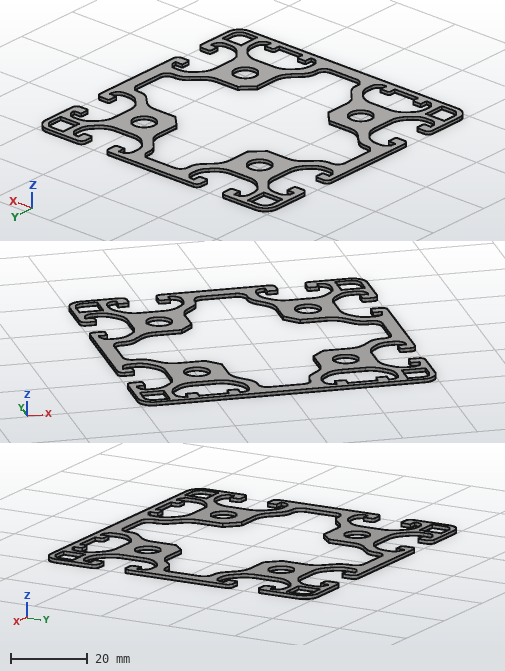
import cadquery as cq
import math

module = 40.0
side = 2 * module
half_side = side / 2
thickness = 1.0
outer_radius = 4.0
side_angles = (0, 90, 180, 270)
closed_side_angle = 180

core_offset = module / 2
core_half = 7.7
core_hole_diameter = 6.8
core_chamfer = 3.6

slot_half_width = 10.0
slot_depth = module / 2 - core_half
mouth_half_width = 4.0
lip_width = 3.0
lip_depth = 4.3
lip_outer_radius = 1.5
lip_inner_radius = 0.6
undercut_depth = 2.0
undercut_radius = 2.5
slot_flank_depth = 8.0
slot_flank_radius = 5.0
slot_floor_radius = 6.0
cutter_overrun = 1.0

wall = 4.0
web = 3.0
cavity_half_side = half_side - wall
cavity_arm_half = module / 2 - slot_half_width - web
cavity_corner_radius = 2.5
cavity_flank_depth = 9.2
cavity_web_radius = 5.0
cavity_core_radius = 6.0

pocket_near = 1.65
pocket_far = 8.0
pocket_radius = 2.5


def rounded_prism(corners):
    """Extrude a closed polygon of (x, y, radius) corners; radius 0 keeps a corner sharp."""
    stretches = []
    for index, (x, y, radius) in enumerate(corners):
        corner = cq.Vector(x, y)
        if radius == 0:
            stretches.append([corner])
            continue
        before = corners[index - 1]
        after = corners[(index + 1) % len(corners)]
        to_before = (cq.Vector(before[0], before[1]) - corner).normalized()
        to_after = (cq.Vector(after[0], after[1]) - corner).normalized()
        half_angle = to_before.getAngle(to_after) / 2
        tangent_length = radius / math.tan(half_angle)
        corner_to_arc = radius / math.sin(half_angle) - radius
        bisector = (to_before + to_after).normalized()
        stretches.append([
            corner + to_before * tangent_length,
            corner + bisector * corner_to_arc,
            corner + to_after * tangent_length,
        ])

    outline = cq.Workplane("XY").moveTo(*stretches[0][-1].toTuple()[:2])
    for stretch in stretches[1:] + stretches[:1]:
        outline = outline.lineTo(*stretch[0].toTuple()[:2])
        if len(stretch) > 1:
            outline = outline.threePointArc(stretch[1].toTuple()[:2], stretch[2].toTuple()[:2])
    return outline.close().extrude(thickness)


def mirrored(half_outline):
    """Complete an outline that is symmetric about the Y axis."""
    return half_outline + [(-x, y, radius) for x, y, radius in reversed(half_outline)]


def slot_cutter(is_open):
    """T-slot on the +Y face, centred on X = 0."""
    def at_depth(depth):
        return half_side - depth

    lip_end = mouth_half_width + lip_width
    flank_run = slot_depth - slot_flank_depth
    if is_open:
        mouth_edge = mouth_half_width + lip_outer_radius + cutter_overrun
        mouth = [
            (mouth_edge, at_depth(-cutter_overrun), 0),
            (mouth_edge, at_depth(0), 0),
            (mouth_half_width, at_depth(0), lip_outer_radius),
        ]
    else:
        mouth = [(mouth_half_width, at_depth(undercut_depth), 0)]
    return rounded_prism(mirrored(mouth + [
        (mouth_half_width, at_depth(lip_depth), lip_inner_radius),
        (lip_end, at_depth(lip_depth), 0),
        (lip_end, at_depth(undercut_depth), 0),
        (slot_half_width, at_depth(undercut_depth), undercut_radius),
        (slot_half_width, at_depth(slot_flank_depth), slot_flank_radius),
        (slot_half_width - flank_run, at_depth(slot_depth), slot_floor_radius),
    ]))


def cavity_cutter():
    """Central cross-shaped cavity that runs around the four cores."""
    core_face = core_offset - core_half
    flank_end = half_side - cavity_flank_depth
    flank_start = flank_end - (core_face - cavity_arm_half)
    core_chamfer_end = core_face + core_chamfer
    quarter = [
        (cavity_half_side, cavity_arm_half, cavity_corner_radius),
        (flank_end, cavity_arm_half, cavity_web_radius),
        (flank_start, core_face, cavity_core_radius),
        (core_chamfer_end, core_face, 0),
    ]
    quarter += [(y, x, radius) for x, y, radius in reversed(quarter)]
    right_half = [(x, -y, radius) for x, y, radius in reversed(quarter)] + quarter
    return rounded_prism(mirrored(right_half))


def corner_pocket():
    """Pocket in the (+X, +Y) corner, rounded along the outer corner."""
    near = half_side - pocket_near
    far = half_side - pocket_far
    return rounded_prism([(far, far, 0), (near, far, 0), (near, near, pocket_radius), (far, near, 0)])


def core_hole():
    """Through hole in the (+X, +Y) core."""
    hole = cq.Workplane("XY").center(core_offset, core_offset)
    return hole.circle(core_hole_diameter / 2).extrude(thickness)


plate = cq.Workplane("XY").rect(side, side).extrude(thickness).edges("|Z").fillet(outer_radius)
plate = plate.cut(cavity_cutter())

for angle in side_angles:
    slot = slot_cutter(is_open=angle != closed_side_angle)
    for offset in (-core_offset, core_offset):
        plate = plate.cut(slot.translate((offset, 0, 0)).rotate((0, 0, 0), (0, 0, 1), angle))
    for cutter in (corner_pocket(), core_hole()):
        plate = plate.cut(cutter.rotate((0, 0, 0), (0, 0, 1), angle))

result = plate